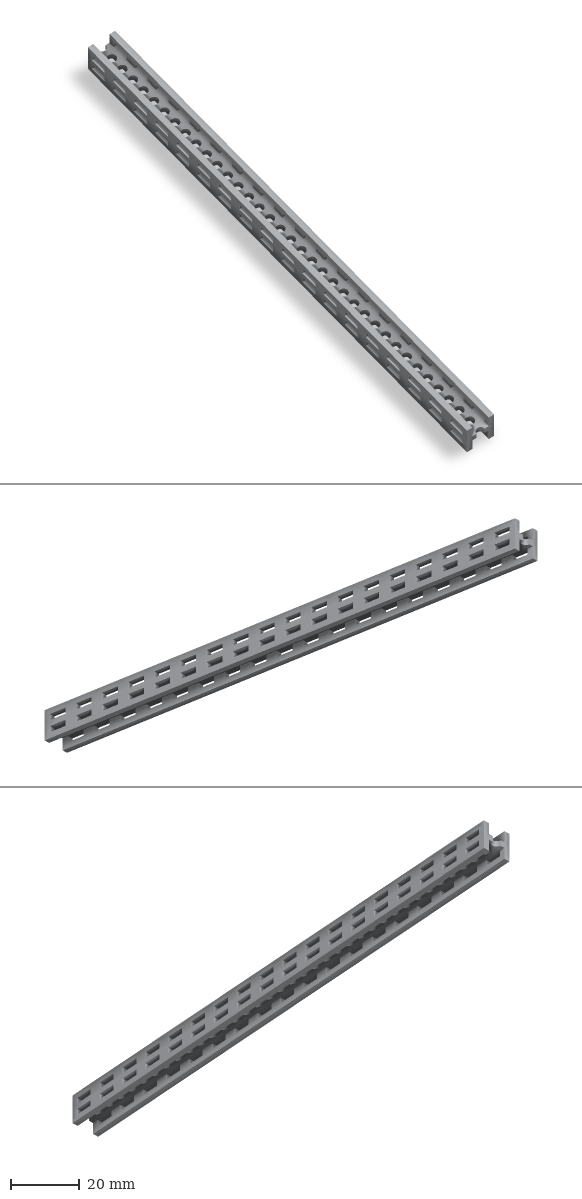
import cadquery as cq

length = 180.0
window_count = 18
module = length / window_count
section_size = module

wall = module / 5
clear_gap = section_size - 2 * wall
hole_diameter = clear_gap / 2

window_size = module - 2 * wall
hole_spacing = module / 2
hole_count = 2 * window_count + 1


def make_flange(side):
    """Upright plate on the +Y (side = 1) or -Y (side = -1) face, pierced by square windows."""
    plate = cq.Workplane("XY").box(length, wall, section_size)
    windows = (
        cq.Workplane("XZ")
        .rarray(module, 1.8, window_count, 1)
        .rect(window_size, window_size)
        .extrude(wall, both=True)
    )
    return plate.cut(windows).translate((0, side * (section_size - wall) / 2, 0))


def make_web():
    """Horizontal plate across the full width, splitting each window, with a row of round holes."""
    plate = cq.Workplane("XY").box(length, section_size, wall)
    holes = (
        cq.Workplane("XY")
        .rarray(hole_spacing, 1.8, hole_count, 1)
        .circle(hole_diameter / 2)
        .extrude(wall, both=True)
    )
    return plate.cut(holes)


result = make_web().union(make_flange(1)).union(make_flange(-1))